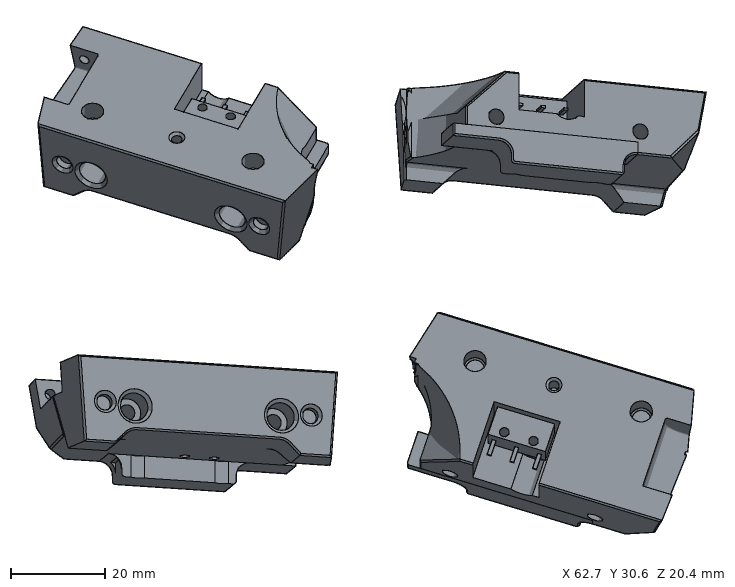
import cadquery as cq
import math

HEIGHT = 20.4
DEPTH = 30.6
CENTER_X = 31.4
FOOT_Z = 1.55
BELLY_Z = 4.8
EDGE_CHAMFER = 0.4
REACH = 125.35

FRONT_FLANK_POINT = (2.7, 0.6, HEIGHT)
FRONT_FLANK_NORMAL = (-1.0, -0.237, -0.07)
REAR_FLANK_POINT = (0.0, 24.15, HEIGHT)
REAR_FLANK_NORMAL = (-1.0, 0.055, -0.18)
REAR_CORNER_POINT = (2.65, 22.55, 5.2)
REAR_CORNER_NORMAL = (-0.65, 0.43, -0.62)
BELLY_BEVEL_NORMAL = (-0.65, 0.036, -0.76)

CREST_TOP = cq.Vector(0.6, 12.2, 13.9)
CREST_BOTTOM = cq.Vector(2.6, 7.6, FOOT_Z)
CREST_GROOVE_WIDTH = 0.75
CREST_GROOVE_DEPTH = 0.3

FOOT_BACK_Y = 7.45
FOOT_BEND = (8.15, 3.0)
FOOT_ROOT_MIDDLE = (8.6, 4.15)
FOOT_ROOT_Y = 9.5
ARCH_OFFSET = 15.7
ARCH_RADIUS = 6.7 / 2

SCOOP_START = (45.45, DEPTH)
SCOOP_MIDDLE = (49.45, 21.55)
SCOOP_END = (60.4, 12.85)
SCOOP_DIRECTION = cq.Vector(6.8, -4.6, -6.5)
SCOOP_LENGTHS_UP = 0.5
SCOOP_LENGTHS = 4.0
SIDE_WALL_X = 54.4
SIDE_WALL_Y = 22.55
SIDE_ARC_MIDDLE = (56.15, 17.8)
SIDE_ARC_END = (60.55, 12.55)
SIDE_STEP = (61.3, 11.55)

POCKET_X = 6.65
POCKET_FRONT_Y = 8.0
POCKET_BACK_Y = 24.15
POCKET_FLOOR_Z = 13.9
POCKET_RADIUS = 6.7 / 2
POCKET_END_FILLET = 0.45
POCKET_HOLE = 2.2
POCKET_HOLE_DEPTH = 3.75

SLOT_LEFT_X = 27.75
SLOT_RIGHT_X = 42.5
SLOT_FRONT_Y = 15.75
SWITCH_LENGTH = 12.8
SWITCH_WIDTH = 6.5
SWITCH_THICKNESS = 5.8
SWITCH_X = 35.35
SWITCH_TOP_Z = 17.8
SWITCH_HOLE = 2.0
SWITCH_HOLE_PITCH = 6.5
SWITCH_HOLE_INSET = 1.5
TERMINAL_WIDTH = 0.9
TERMINAL_LENGTH = 3.45
TERMINAL_THICKNESS = 0.5
TERMINAL_PITCH = 5.1
CABLE_GROOVE_X = 31.6
CABLE_GROOVE_DIAMETER = 6.7
CABLE_GROOVE_WIDTH = 4.75

SLOT_FLOOR_Z = SWITCH_TOP_Z - SWITCH_THICKNESS
SWITCH_BACK_Y = SLOT_FRONT_Y + SWITCH_WIDTH

SCREW_OFFSET = 16.2
SCREW_Z = 9.9
SCREW_HOLE = 3.4
SCREW_BORE = 6.0
SCREW_MOUTH = 7.5
SCREW_BORE_DEPTH = 6.25
PIN_OFFSET = 22.75
PIN_Z = 10.45
PIN_HOLE = 3.4
PIN_MOUTH = 4.8
PIN_DEPTH = 2.25
TOP_HOLE_Y = 8.3
TOP_HOLE_XS = (12.05, 49.15)
TOP_HOLE = 4.7
TOP_HOLE_FLOOR = 3.9
TOP_HOLE_DEPTH = 5.0
CENTER_HOLE_X = 31.5
CENTER_HOLE = 2.2
CENTER_MOUTH = 3.4
CENTER_DEPTH = 5.0
CENTER_TIP = 0.25

BRACKET_FRONT_Y = 22.8
BRACKET_HALF_WIDTH = 12.65
BRACKET_FLARE_RADIUS = 2.95
BRACKET_CORNER_RADIUS = 0.75
BRACKET_ARM_X = 57.2
BRACKET_ARM_Z = 7.5
BRACKET_GROOVE_DIAMETER = 5.8
BRACKET_GROOVE_WIDTH = 3.0
BRACKET_GROOVE_XS = (22.3, 40.85)
WINDOW_FRONT_Y = 23.2
WINDOW_BACK_Y = 27.75
WINDOW_BOTTOM_Z = 1.1
WINDOW_TOP_Z = 4.15


def block(x_range, y_range, z_range):
    size = [high - low for low, high in (x_range, y_range, z_range)]
    box = cq.Workplane("XY").box(*size, centered=False)
    return box.translate((x_range[0], y_range[0], z_range[0]))


def cut_both_sides(body, cutter):
    """Cut with a left-hand cutter and with its mirror image."""
    return body.cut(cutter).cut(cutter.mirror("YZ", (CENTER_X, 0, 0)))


def outside_of_plane(point, normal):
    """Large block on the outer side of a plane."""
    plane = cq.Plane(origin=point, normal=normal)
    return cq.Workplane(plane).rect(2 * REACH, 2 * REACH).extrude(REACH)


def slanted_prism(outline, travel):
    """Prism that moves a closed horizontal outline along a slanted vector."""
    return cq.Workplane(cq.Solid.extrudeLinear(outline.val(), [], travel))


def turned_hole(point, direction, profile):
    """Round cutter from (radius, depth) points, measured from its mouth."""
    outline = cq.Workplane("XZ").polyline([(0, 0), *profile]).close()
    cutter = outline.revolve(360, (0, 0), (0, 1)).val()
    plane = cq.Plane(origin=point, xDir=(1, 0, 0), normal=direction)
    return cq.Workplane(cutter.moved(cq.Location(plane)))


def chamfered_hole(point, direction, hole, mouth, depth, tip=0.0):
    """Blind hole with a 45 degree mouth and, if asked for, a conical tip."""
    radius = hole / 2
    mouth_radius = mouth / 2
    profile = [
        (mouth_radius, 0),
        (radius, mouth_radius - radius),
        (radius, depth),
        (0, depth + tip),
    ]
    return turned_hole(point, direction, profile)


def arc_center_offset(diameter, chord):
    """Distance from a chord to the centre of its circle."""
    return math.sqrt(diameter**2 - chord**2) / 2


def switch_holes():
    y = SWITCH_BACK_Y - SWITCH_HOLE_INSET
    points = [(SWITCH_X + side * SWITCH_HOLE_PITCH / 2, y) for side in (-1, 1)]
    return cq.Workplane("XY").pushPoints(points).circle(SWITCH_HOLE / 2).extrude(REACH)


def belly_cutter():
    """Space below the housing behind the feet, seen along X."""
    return (
        cq.Workplane("YZ")
        .moveTo(FOOT_BACK_Y, 0)
        .lineTo(FOOT_BACK_Y, FOOT_Z)
        .lineTo(*FOOT_BEND)
        .threePointArc(FOOT_ROOT_MIDDLE, (FOOT_ROOT_Y, BELLY_Z))
        .lineTo(REACH, BELLY_Z)
        .lineTo(REACH, 0)
        .close()
        .extrude(REACH)
    )


def arch_cutter():
    """Space between the feet, seen along Y: an arch at each end that runs out at 45 degrees."""
    left = CENTER_X - ARCH_OFFSET
    right = CENTER_X + ARCH_OFFSET
    arch_z = BELLY_Z - ARCH_RADIUS
    lean = ARCH_RADIUS * math.cos(math.radians(45))
    middle_x = ARCH_RADIUS * math.sin(math.radians(22.5))
    middle_z = arch_z + ARCH_RADIUS * math.cos(math.radians(22.5))
    tangent_z = arch_z + lean
    run_out = lean + tangent_z
    return (
        cq.Workplane("XZ")
        .moveTo(left - run_out, 0)
        .lineTo(left - lean, tangent_z)
        .threePointArc((left - middle_x, middle_z), (left, BELLY_Z))
        .lineTo(right, BELLY_Z)
        .threePointArc((right + middle_x, middle_z), (right + lean, tangent_z))
        .lineTo(right + run_out, 0)
        .close()
        .extrude(-REACH)
    )


def belly_bevel():
    """Bevel along the lower edge of the side, starting from the corner cut's point, behind the foot."""
    behind_foot = block((-REACH, REACH), (FOOT_ROOT_Y, DEPTH), (0, HEIGHT))
    return outside_of_plane(REAR_CORNER_POINT, BELLY_BEVEL_NORMAL).intersect(behind_foot)


def crest_groove():
    length = CREST_TOP - CREST_BOTTOM
    outline = (
        cq.Workplane("XY", origin=CREST_BOTTOM.toTuple())
        .rect(2 * CREST_GROOVE_DEPTH, CREST_GROOVE_WIDTH)
        .wires()
    )
    return slanted_prism(outline, length)


def housing_block():
    body = block((CENTER_X - REACH, CENTER_X + REACH), (0, DEPTH), (FOOT_Z, HEIGHT))
    body = cut_both_sides(body, outside_of_plane(FRONT_FLANK_POINT, FRONT_FLANK_NORMAL))
    body = cut_both_sides(body, outside_of_plane(REAR_FLANK_POINT, REAR_FLANK_NORMAL))
    body = body.cut(belly_cutter()).cut(arch_cutter())
    body = cut_both_sides(body, outside_of_plane(REAR_CORNER_POINT, REAR_CORNER_NORMAL))
    body = cut_both_sides(body, belly_bevel())
    body = body.faces("<Y").edges().chamfer(EDGE_CHAMFER)
    return cut_both_sides(body, crest_groove())


def scoop():
    """Slanted duct that opens the right rear corner of the top face."""
    outline = (
        cq.Workplane("XY", origin=(0, 0, HEIGHT))
        .moveTo(*SCOOP_START)
        .threePointArc(SCOOP_MIDDLE, SCOOP_END)
        .lineTo(REACH, SCOOP_END[1])
        .lineTo(REACH, REACH)
        .lineTo(SCOOP_START[0], REACH)
        .close()
    )
    cutter = slanted_prism(outline, SCOOP_DIRECTION * SCOOP_LENGTHS)
    return cutter.translate(SCOOP_DIRECTION * -SCOOP_LENGTHS_UP)


def side_relief():
    """Upright cut that sets the right side wall back behind the scoop."""
    return (
        cq.Workplane("XY")
        .moveTo(REACH, SIDE_STEP[1])
        .lineTo(*SIDE_STEP)
        .lineTo(SIDE_STEP[0], SIDE_ARC_END[1])
        .lineTo(*SIDE_ARC_END)
        .threePointArc(SIDE_ARC_MIDDLE, (SIDE_WALL_X, SIDE_WALL_Y))
        .lineTo(SIDE_WALL_X, REACH)
        .lineTo(REACH, REACH)
        .close()
        .extrude(REACH)
    )


def switch_slot():
    slot = block((SLOT_LEFT_X, SLOT_RIGHT_X), (SLOT_FRONT_Y, REACH), (SLOT_FLOOR_Z, REACH))
    axis_z = SLOT_FLOOR_Z + arc_center_offset(CABLE_GROOVE_DIAMETER, CABLE_GROOVE_WIDTH)
    groove = (
        cq.Workplane("XZ", origin=(CABLE_GROOVE_X, SWITCH_BACK_Y, axis_z))
        .circle(CABLE_GROOVE_DIAMETER / 2)
        .extrude(-REACH)
    )
    return slot.union(groove)


def side_pocket():
    """Pocket with a rounded inner edge, and the small hole in its back wall."""
    pocket = block((-REACH, POCKET_X), (POCKET_FRONT_Y, POCKET_BACK_Y), (POCKET_FLOOR_Z, REACH))
    pocket = pocket.edges("|Y and >X and <Z").fillet(POCKET_RADIUS)
    pocket = pocket.faces("<Y or >Y").edges("not (<X or >Z)").fillet(POCKET_END_FILLET)
    hole_x = POCKET_X - POCKET_RADIUS
    hole_z = POCKET_FLOOR_Z + POCKET_RADIUS
    hole = (
        cq.Workplane("XZ", origin=(hole_x, POCKET_BACK_Y, hole_z))
        .circle(POCKET_HOLE / 2)
        .extrude(-POCKET_HOLE_DEPTH)
    )
    return pocket.union(hole)


def front_holes():
    """Counterbored through holes for screws, with a blind pin hole beside each."""
    inward = (0, 1, 0)
    cutters = []
    for side in (-1, 1):
        screw = (CENTER_X + side * SCREW_OFFSET, 0, SCREW_Z)
        pin = (CENTER_X + side * PIN_OFFSET, 0, PIN_Z)
        cutters.append(cq.Workplane("XZ", origin=screw).circle(SCREW_HOLE / 2).extrude(-REACH))
        cutters.append(chamfered_hole(screw, inward, SCREW_BORE, SCREW_MOUTH, SCREW_BORE_DEPTH))
        cutters.append(chamfered_hole(pin, inward, PIN_HOLE, PIN_MOUTH, PIN_DEPTH))
    return cutters


def top_holes():
    """Two blind holes with a bevelled floor, and a countersunk one between them."""
    down = (0, 0, -1)
    radius = TOP_HOLE / 2
    floor_radius = TOP_HOLE_FLOOR / 2
    bevel_start = TOP_HOLE_DEPTH - (radius - floor_radius)
    profile = [(radius, 0), (radius, bevel_start), (floor_radius, TOP_HOLE_DEPTH), (0, TOP_HOLE_DEPTH)]
    cutters = [turned_hole((x, TOP_HOLE_Y, HEIGHT), down, profile) for x in TOP_HOLE_XS]
    center = (CENTER_HOLE_X, TOP_HOLE_Y, HEIGHT)
    cutters.append(chamfered_hole(center, down, CENTER_HOLE, CENTER_MOUTH, CENTER_DEPTH, CENTER_TIP))
    return cutters


def build_housing(seated_bracket):
    body = housing_block()
    body = body.cut(scoop()).cut(side_relief())
    body = body.faces(">Y").edges().chamfer(EDGE_CHAMFER)
    body = body.cut(switch_slot()).cut(side_pocket()).cut(switch_holes())
    for hole in front_holes() + top_holes():
        body = body.cut(hole)
    return body.cut(seated_bracket)


def build_switch():
    """Rectangular switch with two mounting holes and three flat terminals."""
    left_x = SWITCH_X - SWITCH_LENGTH / 2
    body = block(
        (left_x, left_x + SWITCH_LENGTH), (SLOT_FRONT_Y, SWITCH_BACK_Y), (SLOT_FLOOR_Z, SWITCH_TOP_Z)
    )
    terminal_z = SLOT_FLOOR_Z + SWITCH_THICKNESS / 2
    for step in (-1, 0, 1):
        terminal = cq.Workplane("XY").box(
            TERMINAL_WIDTH, TERMINAL_LENGTH, TERMINAL_THICKNESS, centered=(True, False, True)
        )
        x = SWITCH_X + step * TERMINAL_PITCH
        body = body.union(terminal.translate((x, SWITCH_BACK_Y, terminal_z)))
    return body.cut(switch_holes())


def build_bracket():
    """Bar let into the underside at the back: a flared block below and an arm to the right."""
    left = CENTER_X - BRACKET_HALF_WIDTH
    right = CENTER_X + BRACKET_HALF_WIDTH
    flare = BRACKET_FLARE_RADIUS
    flare_z = BELLY_Z - flare
    sag = flare * (1 - math.cos(math.radians(45)))
    body = (
        cq.Workplane("XZ", origin=(0, DEPTH, 0))
        .moveTo(left, 0)
        .lineTo(left, flare_z)
        .threePointArc((left - sag, BELLY_Z - sag), (left - flare, BELLY_Z))
        .lineTo(left - flare, BRACKET_ARM_Z)
        .lineTo(BRACKET_ARM_X, BRACKET_ARM_Z)
        .lineTo(BRACKET_ARM_X, BELLY_Z)
        .lineTo(right + flare, BELLY_Z)
        .threePointArc((right + sag, BELLY_Z - sag), (right, flare_z))
        .lineTo(right, 0)
        .close()
        .extrude(DEPTH - BRACKET_FRONT_Y)
    )
    body = body.faces("<Z").edges("|Y").fillet(BRACKET_CORNER_RADIUS)
    body = body.faces(">Y").edges("<Z or >X").chamfer(EDGE_CHAMFER)
    axis_y = BRACKET_FRONT_Y - arc_center_offset(BRACKET_GROOVE_DIAMETER, BRACKET_GROOVE_WIDTH)
    groove_points = [(x, axis_y) for x in BRACKET_GROOVE_XS]
    grooves = cq.Workplane("XY").pushPoints(groove_points).circle(BRACKET_GROOVE_DIAMETER / 2)
    body = body.cut(grooves.extrude(BELLY_Z))
    window = block((0, left), (WINDOW_FRONT_Y, WINDOW_BACK_Y), (WINDOW_BOTTOM_Z, WINDOW_TOP_Z))
    return body.cut(window)


bracket = build_bracket()
housing = build_housing(bracket)
switch = build_switch()

result = cq.Compound.makeCompound([body.solids().val() for body in (housing, switch, bracket)])